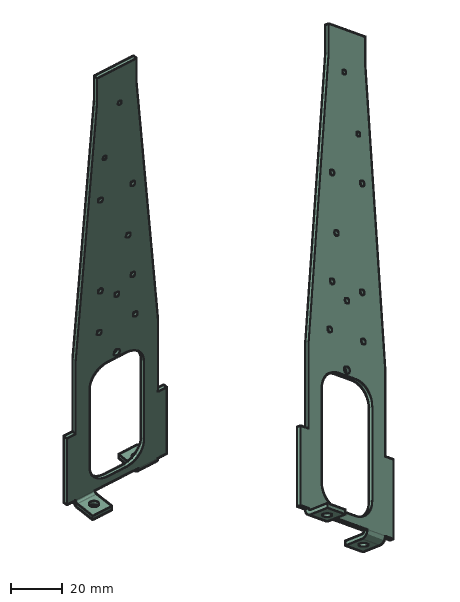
import cadquery as cq

height = 208.8
thickness = 2.0
bend_inner_radius = 1.0
bend_outer_radius = bend_inner_radius + thickness
plate_bottom = bend_outer_radius

base_half_width = 24.8
base_top = 36.3
body_half_width = 20.5
taper_bottom = 72.9
taper_top = 196.7
tip_half_width = 9.8

window_width = 27.0
window_bottom = 6.9
window_top = 64.0
window_corner_radius = 9.0

tab_reach = 11.5
tab_width = 9.6
tab_hole_diameter = 3.8
tab_hole_x = 6.0
tab_hole_y = 15.5

plate_holes = {
    1.9: [(1.5, 190.8), (-6.0, 167.0)],
    2.3: [
        (8.0, 147.0), (-8.1, 147.0),
        (5.6, 122.4),
        (8.0, 101.5), (-8.1, 101.5),
        (0, 95.6),
        (9.2, 81.0), (-8.8, 81.0),
    ],
    3.0: [(0, 66.6)],
}


def make_plate():
    """Stepped and tapered plate, symmetric about Y = 0."""
    right_edge = [
        (base_half_width, plate_bottom),
        (base_half_width, base_top),
        (body_half_width, base_top),
        (body_half_width, taper_bottom),
        (tip_half_width, taper_top),
        (tip_half_width, height),
    ]
    left_edge = [(-y, z) for y, z in reversed(right_edge)]
    outline = cq.Workplane("YZ").polyline(right_edge + left_edge).close()
    return outline.extrude(thickness / 2, both=True)


def make_window():
    """Cutter for the rounded window."""
    window_height = window_top - window_bottom
    return (
        cq.Workplane("YZ")
        .center(0, (window_bottom + window_top) / 2)
        .rect(window_width, window_height)
        .extrude(thickness, both=True)
        .edges("|X")
        .fillet(window_corner_radius)
    )


def make_tab():
    """Tab bent toward +X, on the -Y side of the plate."""
    near_face = thickness / 2
    bend_end = near_face + bend_inner_radius
    diagonal = 0.5 ** 0.5
    outer_mid = (bend_end - bend_outer_radius * diagonal, plate_bottom - bend_outer_radius * diagonal)
    inner_mid = (bend_end - bend_inner_radius * diagonal, plate_bottom - bend_inner_radius * diagonal)
    tab = (
        cq.Workplane("XZ", origin=(0, -body_half_width + tab_width, 0))
        .moveTo(-near_face, plate_bottom)
        .threePointArc(outer_mid, (bend_end, 0))
        .lineTo(tab_reach, 0)
        .lineTo(tab_reach, thickness)
        .lineTo(bend_end, thickness)
        .threePointArc(inner_mid, (near_face, plate_bottom))
        .close()
        .extrude(tab_width)
    )
    hole = (
        cq.Workplane("XY")
        .center(tab_hole_x, -tab_hole_y)
        .circle(tab_hole_diameter / 2)
        .extrude(thickness)
    )
    return tab.cut(hole)


result = make_plate().cut(make_window())

for diameter, centres in plate_holes.items():
    holes = cq.Workplane("YZ").pushPoints(centres).circle(diameter / 2).extrude(thickness, both=True)
    result = result.cut(holes)

for turn in (0, 180):
    result = result.union(make_tab().rotate((0, 0, 0), (0, 0, 1), turn))